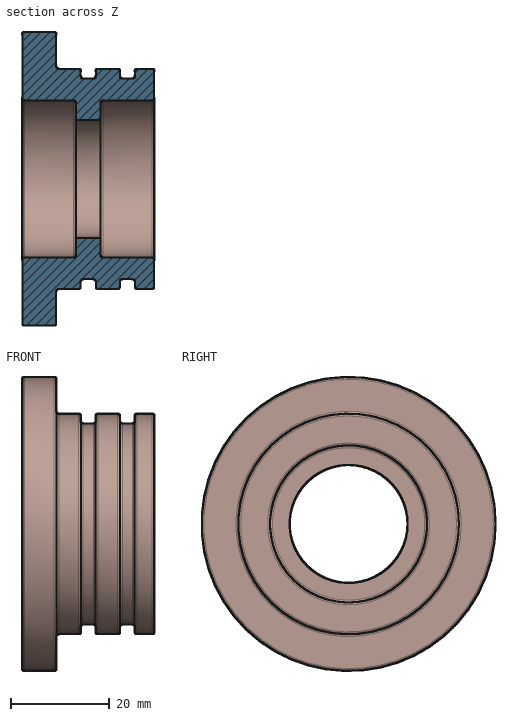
import cadquery as cq

length = 27.0
flange_radius = 30.0
flange_thickness = 7.0
hub_radius = 22.5

groove_starts = (12.0, 20.0)
groove_width = 3.0
groove_depth = 2.0

throat_radius = 12.0
counterbore_radius = 16.0
counterbore_depth = 11.0

edge_round = 0.5


def disc(start, thickness, radius):
    """Solid cylinder along X, beginning at the given X position."""
    return cq.Workplane("YZ", origin=(start, 0, 0)).circle(radius).extrude(thickness)


def groove(start):
    """Ring that cuts one groove into the hub surface."""
    floor_radius = hub_radius - groove_depth
    return disc(start, groove_width, flange_radius).cut(disc(start, groove_width, floor_radius))


body = disc(0, flange_thickness, flange_radius).union(disc(0, length, hub_radius))

for groove_start in groove_starts:
    body = body.cut(groove(groove_start))

body = body.cut(disc(0, counterbore_depth, counterbore_radius))
body = body.cut(disc(length - counterbore_depth, counterbore_depth, counterbore_radius))

body = body.edges("%CIRCLE").fillet(edge_round)

result = body.cut(disc(0, length, throat_radius))